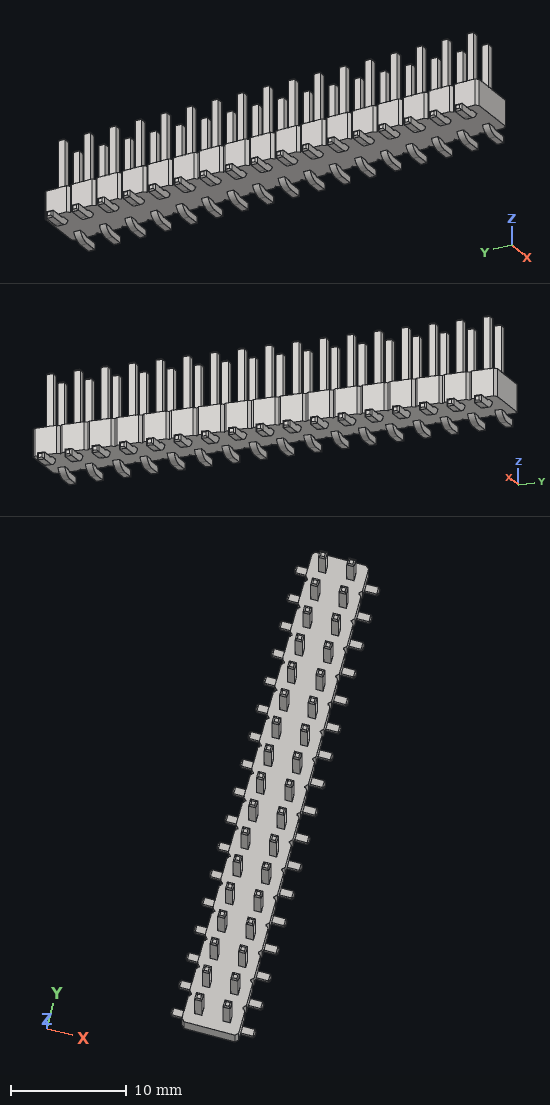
import cadquery as cq

positions = 17
rows_length = 43.2
pitch = rows_length / positions
body_width = 2 * pitch
body_height = pitch
corner_cut = 0.25

foot_overhang = 1.1
total_height = 8.55
row_x = pitch / 2
pin_size = 0.65
tip_bevel = 0.15
inner_bend_radius = pin_size
outer_bend_radius = inner_bend_radius + pin_size

standoff = 0.15
body_bottom = pin_size + standoff


def make_segment():
    """One bevelled body segment; neighbours leave a V groove between them."""
    return (
        cq.Workplane("XY")
        .workplane(offset=body_bottom)
        .rect(body_width, pitch)
        .extrude(body_height)
        .edges("|Z")
        .chamfer(corner_cut)
    )


def make_bent_pin():
    """Pin of the +X row at Y = 0: upright post bent outwards into a foot."""
    inner_x = row_x - pin_size / 2
    outer_x = row_x + pin_size / 2
    foot_tip_x = body_width / 2 + foot_overhang + tip_bevel
    profile = [
        (inner_x, total_height),
        (inner_x, 0),
        (foot_tip_x, 0),
        (foot_tip_x, pin_size),
        (outer_x, pin_size),
        (outer_x, total_height),
    ]
    pin = (
        cq.Workplane("XZ")
        .polyline(profile)
        .close()
        .extrude(pin_size / 2, both=True)
    )
    outer_corner = cq.selectors.NearestToPointSelector((inner_x, 0, 0))
    inner_corner = cq.selectors.NearestToPointSelector((outer_x, 0, pin_size))
    pin = pin.edges("|Y").edges(outer_corner).fillet(outer_bend_radius)
    pin = pin.edges("|Y").edges(inner_corner).fillet(inner_bend_radius)
    pin = pin.faces(">Z").edges().chamfer(tip_bevel)
    return pin.faces(">X").edges().chamfer(tip_bevel)


segment = make_segment()
right_pin = make_bent_pin()
left_pin = right_pin.mirror("YZ")

result = cq.Workplane("XY")
for index in range(positions):
    y_center = (index - (positions - 1) / 2) * pitch
    for piece in (segment, right_pin, left_pin):
        result = result.union(piece.translate((0, y_center, 0)))